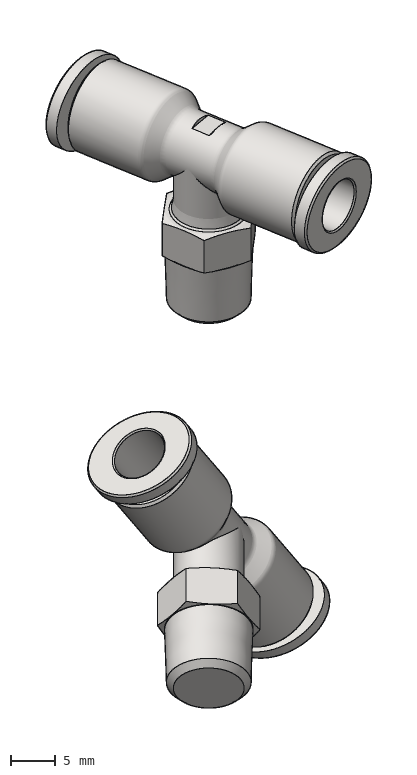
import cadquery as cq
import math


overall_length = 35.9
run_end = overall_length / 2
socket_radius = 5.6
socket_face = 15.6
socket_edge_chamfer = 0.3
shoulder_outer = 5.42
shoulder_inner = 3.45
shoulder_blend = 1.0
waist_radius = 4.0

neck_radius = 3.75
flange_thickness = 1.6
flange_width = 13.0
flange_height = 11.1
flange_edge_chamfer = 0.2

bore_radius = 3.12
bore_mouth_radius = 3.3
bore_depth = 12.2

notch_floor = 3.65
notch_floor_length = 2.37
notch_top_length = 2.6

branch_radius = waist_radius
collar_top = 6.45
collar_radius = 4.2
flare_top = 7.7
flare_radius = 4.45
hex_top = 7.9
hex_height = 5.0
hex_across_flats = 10.0
hex_chamfer_radius = 4.92
hex_corner_drop = 0.25
thread_top_radius = 5.0
thread_end_radius = 4.77
thread_chamfer = 0.8
branch_end = 26.5 - socket_radius

hex_bottom = hex_top + hex_height
hex_corner_radius = hex_across_flats / math.sqrt(3)


def revolve_about_x(outline):
    return outline.close().revolve(360, (0, 0, 0), (1, 0, 0))


def revolve_about_z(points):
    return cq.Workplane("XZ").polyline(points).close().revolve(360, (0, 0, 0), (0, 1, 0))


def both_ends(half):
    """Join a +X half with its mirror image."""
    return half.union(half.mirror("YZ"))


def run_body():
    """Stepped run body, with the shoulder corners rounded by tangent arcs."""
    slope = math.atan2(socket_radius - waist_radius, shoulder_outer - shoulder_inner)
    tangent = shoulder_blend * math.tan(slope / 2)
    along_x = tangent * math.cos(slope)
    along_r = tangent * math.sin(slope)
    mid_x = shoulder_blend * math.sin(slope / 2)
    mid_r = shoulder_blend * (1 - math.cos(slope / 2))
    inner_mid = (shoulder_inner - tangent + mid_x, waist_radius + mid_r)
    outer_mid = (shoulder_outer + tangent - mid_x, socket_radius - mid_r)
    outline = (
        cq.Workplane("XY")
        .moveTo(0, 0)
        .lineTo(0, waist_radius)
        .lineTo(shoulder_inner - tangent, waist_radius)
        .threePointArc(inner_mid, (shoulder_inner + along_x, waist_radius + along_r))
        .lineTo(shoulder_outer - along_x, socket_radius - along_r)
        .threePointArc(outer_mid, (shoulder_outer + tangent, socket_radius))
        .lineTo(socket_face - socket_edge_chamfer, socket_radius)
        .lineTo(socket_face, socket_radius - socket_edge_chamfer)
        .lineTo(socket_face, 0)
    )
    return both_ends(revolve_about_x(outline))


def release_sleeves():
    flange_back = run_end - flange_thickness
    neck = cq.Workplane("YZ", origin=(socket_face, 0, 0)).circle(neck_radius)
    neck = neck.extrude(run_end - socket_face)
    flange = (
        cq.Workplane("YZ", origin=(flange_back, 0, 0))
        .ellipse(flange_width / 2, flange_height / 2)
        .extrude(flange_thickness)
        .faces(">X")
        .chamfer(flange_edge_chamfer)
    )
    return both_ends(neck.union(flange))


def tube_bores():
    """Blind bores with a small 45 degree lead-in at each mouth."""
    lead_in = bore_mouth_radius - bore_radius
    bore_floor = run_end - bore_depth
    outline = (
        cq.Workplane("XY")
        .moveTo(bore_floor, 0)
        .lineTo(bore_floor, bore_radius)
        .lineTo(run_end - lead_in, bore_radius)
        .lineTo(run_end, bore_mouth_radius)
        .lineTo(run_end, 0)
    )
    return both_ends(revolve_about_x(outline))


def waist_notch():
    """Cutter with sloping end walls, running across the whole waist top."""
    return (
        cq.Workplane("XZ")
        .moveTo(-notch_floor_length / 2, notch_floor)
        .lineTo(notch_floor_length / 2, notch_floor)
        .lineTo(notch_top_length / 2, waist_radius)
        .lineTo(-notch_top_length / 2, waist_radius)
        .close()
        .extrude(waist_radius, both=True)
    )


def branch_stem():
    """Plain stem, tapered collar and flare, plus the tapered thread below the hexagon."""
    return revolve_about_z([
        (0, 0),
        (branch_radius, 0),
        (branch_radius, -collar_top),
        (collar_radius, -flare_top),
        (flare_radius, -hex_top),
        (flare_radius, -hex_bottom),
        (thread_top_radius, -hex_bottom),
        (thread_end_radius, thread_chamfer - branch_end),
        (thread_end_radius - thread_chamfer, -branch_end),
        (0, -branch_end),
    ])


def hexagon():
    """Hexagon with corners on the X axis, its end corners turned off conically."""
    prism = (
        cq.Workplane("XY", origin=(0, 0, -hex_bottom))
        .polygon(6, 2 * hex_corner_radius)
        .extrude(hex_height)
    )
    envelope = revolve_about_z([
        (0, -hex_top),
        (hex_chamfer_radius, -hex_top),
        (hex_corner_radius, -hex_top - hex_corner_drop),
        (hex_corner_radius, -hex_bottom + hex_corner_drop),
        (hex_chamfer_radius, -hex_bottom),
        (0, -hex_bottom),
    ])
    return prism.intersect(envelope)


fitting = run_body().union(release_sleeves()).union(branch_stem()).union(hexagon())
result = fitting.cut(waist_notch()).cut(tube_bores())